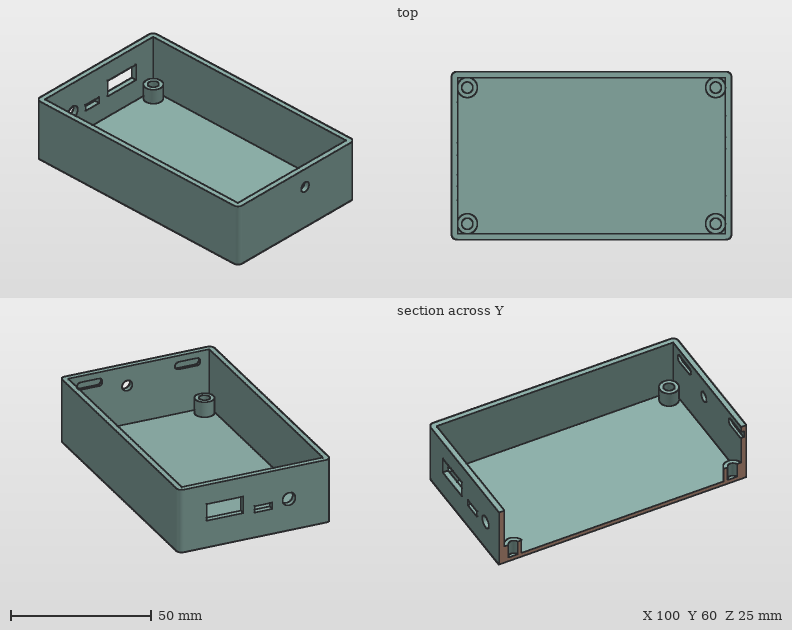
import cadquery as cq

LENGTH = 100
WIDTH = 60
HEIGHT = 25
WALL = 2.2
FLOOR = 2
CORNER_RADIUS = 2

POST_DIAMETER = 7.2
POST_HOLE_DIAMETER = 4
POST_HEIGHT = 6
POST_INSET = 5.7

WINDOW_CENTRE = (11.8, 14)
WINDOW_SIZE = (14.5, 6.6)
SLOT_CENTRE = (-3.4, 11.2)
SLOT_SIZE = (7, 2.5)
JACK_CENTRE = (-13.4, 12.5)
JACK_DIAMETER = 5

FAR_HOLE_CENTRE = (4.5, 17.3)
FAR_HOLE_DIAMETER = 4
GROOVE_OFFSET = 19.3
GROOVE_LENGTH = 10
GROOVE_HEIGHT = 3
GROOVE_DEPTH = 1.2
GROOVE_Z = 21


def make_tray():
    outside = cq.Workplane("XY").box(LENGTH, WIDTH, HEIGHT, centered=(True, True, False))
    outside = outside.edges("|Z").fillet(CORNER_RADIUS)
    cavity = (
        cq.Workplane("XY", origin=(0, 0, FLOOR))
        .rect(LENGTH - 2 * WALL, WIDTH - 2 * WALL)
        .extrude(HEIGHT - FLOOR)
    )
    return outside.cut(cavity)


def add_posts(body):
    spacing = (LENGTH - 2 * POST_INSET, WIDTH - 2 * POST_INSET)
    posts = (
        cq.Workplane("XY")
        .rect(*spacing, forConstruction=True)
        .vertices()
        .circle(POST_DIAMETER / 2)
        .extrude(FLOOR + POST_HEIGHT)
    )
    holes = (
        cq.Workplane("XY", origin=(0, 0, FLOOR))
        .rect(*spacing, forConstruction=True)
        .vertices()
        .circle(POST_HOLE_DIAMETER / 2)
        .extrude(POST_HEIGHT)
    )
    return body.union(posts).cut(holes)


def wall_sketch(wall_start, centre):
    """YZ plane at the lower-X face of an end wall, centred on an opening."""
    return cq.Workplane("YZ", origin=(wall_start, *centre))


def cut_near_wall(body):
    start = -LENGTH / 2
    for centre, size in ((WINDOW_CENTRE, WINDOW_SIZE), (SLOT_CENTRE, SLOT_SIZE)):
        body = body.cut(wall_sketch(start, centre).rect(*size).extrude(WALL))
    jack = wall_sketch(start, JACK_CENTRE).circle(JACK_DIAMETER / 2).extrude(WALL)
    return body.cut(jack)


def cut_far_wall(body):
    start = LENGTH / 2 - WALL
    hole = wall_sketch(start, FAR_HOLE_CENTRE).circle(FAR_HOLE_DIAMETER / 2).extrude(WALL)
    body = body.cut(hole)
    for side in (-1, 1):
        centre = (side * GROOVE_OFFSET, GROOVE_Z)
        groove = wall_sketch(start, centre).slot2D(GROOVE_LENGTH, GROOVE_HEIGHT).extrude(GROOVE_DEPTH)
        body = body.cut(groove)
    return body


result = cut_far_wall(cut_near_wall(add_posts(make_tray())))